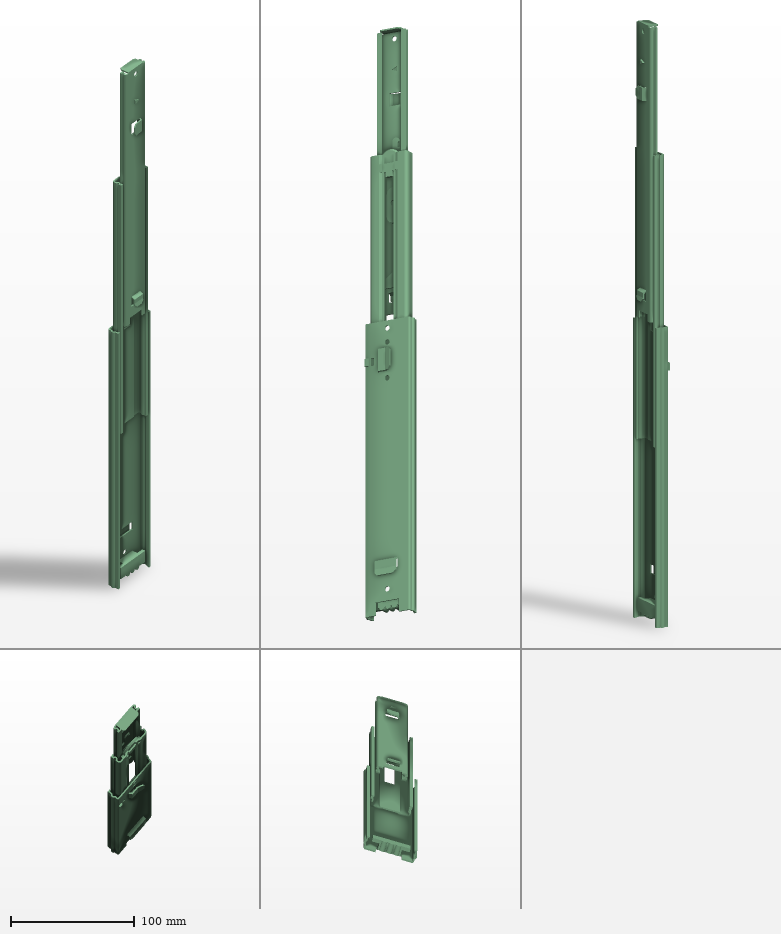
import cadquery as cq
import math

LENGTH = 500.0
WALL = 1.2
HOLE_DIAMETER = 4.5

OUTER_BACK_X = -5.5
OUTER_BEND_RADIUS = 1.5
OUTER_MOUTH_X = 5.5
OUTER_HALF_WIDTH = 21.25
OUTER_BULGE = 1.25
OUTER_BULGE_X = 0.0
OUTER_BULGE_HALF_SPAN = 2.0
OUTER_MOUTH_HALF_WIDTH = 19.0
OUTER_TOP_Z = 250.0
OUTER_HOLES_Z = (21.0, 201.0, 231.5, 243.5)
NOTCH_HALF_WIDTH = 11.0
NOTCH_HEIGHT = 11.0

MIDDLE_BACK_X = -4.0
MIDDLE_BEND_RADIUS = 2.5
MIDDLE_MOUTH_X = 5.5
MIDDLE_HALF_WIDTH = 17.5
MIDDLE_GROOVE_DEPTH = 1.5
MIDDLE_GROOVE_X = 1.5
MIDDLE_GROOVE_HALF_SPAN = 1.0
MIDDLE_MOUTH_HALF_WIDTH = 15.0
MIDDLE_BOTTOM_Z = 150.0
MIDDLE_TOP_Z = 393.0
RECESS_DEPTH = 1.0
RECESS_HALF_WIDTH = 8.75
RECESS_FLOOR_HALF_WIDTH = 6.5
SLOT_HALF_WIDTH = 4.5
SLOT_BOTTOM_Z = 242.0

INNER_BACK_X = 7.0
INNER_BEND_RADIUS = 2.0
INNER_MOUTH_X = 0.75
INNER_HALF_WIDTH = 13.25
INNER_GROOVE_DEPTH = 1.5
INNER_GROOVE_X = 3.5
INNER_GROOVE_HALF_SPAN = 1.0
INNER_MOUTH_HALF_WIDTH = 9.25
INNER_BOTTOM_Z = 253.0
INNER_NOTCH_TOP_Z = 259.0
INNER_NOTCH_HALF_WIDTH = 8.0
INNER_HOLE_Z = 493.5
INNER_TOP_Z = LENGTH - WALL
TOP_TAB_HALF_WIDTH = 9.75
TOP_TAB_FRONT_X = -2.25
TOP_TAB_CHAMFER = 1.5

HOOK_REACH = 10.75
HOOK_STANDOFF = 3.0
HOOK_STRAIGHT_SHARE = 0.6
HOOK_CORNER_CHAMFER = 2.5
HOOK_TOP_DROP = 1.75
WIDE_HOOK_REACH = 9.5
WIDE_HOOK_TOP_Z = 47.0
WIDE_HOOK_HEIGHT = 14.5
WIDE_HOOK_HALF_WIDTH = 10.0
LOW_HOOK_TOP_Z = 278.5
LOW_HOOK_HEIGHT = 9.5
LOW_HOOK_HALF_WIDTH = 5.5
SIDE_HOOK_Z = 216.5
SIDE_HOOK_ROOT_Y = 8.5
SIDE_HOOK_HEIGHT = 14.0
SIDE_HOOK_HALF_WIDTH = 9.5
HIGH_HOOK_Z = 442.0
HIGH_HOOK_ROOT_Y = 6.0
HIGH_HOOK_HEIGHT = 12.0
HIGH_HOOK_HALF_WIDTH = 5.5

STOP_Z = 213.5
STOP_HEIGHT = 6.5
STOP_RISE = 1.5
STOP_INNER_Y = 17.0
STOP_WIDTH = 3.5
STOP_WINDOW_Y = 12.5
STOP_WINDOW_WIDTH = 3.0

BARB_Z = 467.5
BARB_HALF_WIDTH = 2.5
BARB_HALF_HEIGHT = 2.0
BARB_RISE = 1.5

CAP_BOTTOM_Z = 373.5
CAP_SHOULDER_Z = 378.0
CAP_STEP_Z = 385.0
CAP_SPRING_Z = 392.0
CAP_TOP_Z = 397.5
CAP_THICKNESS = 2.0
CAP_BEVEL = 1.5
CAP_STEM_HALF_WIDTH = 3.0
EAR_INNER_Y = 6.25
EAR_OUTER_Y = 11.25

LEVER_THICKNESS = 1.2
LEVER_HALF_WIDTH = 6.0
PAD_BOTTOM_Z = 336.0
PAD_TOP_Z = 366.5
PAD_THICKNESS = 1.8
LEVER_SHOULDER_Z = 387.5
LEVER_ARM_EDGE_Y = 1.0
LEVER_TIP_EDGE_Y = -5.5
LEVER_NECK_Y = -3.5
LEVER_NOTCH_BOTTOM_Z = 400.0
LEVER_NOTCH_TOP_Z = 404.5
LEVER_TOP_Z = 408.5
PIVOT_Z = 353.0
PIVOT_DIAMETER = 9.0
DIMPLE_DIAMETER = 5.0

LATCH_BOTTOM_Z = 281.0
LATCH_SHOULDER_Z = 289.0
LATCH_POINT_Z = 294.5
LATCH_HALF_WIDTH = 8.0

BUMPER_BOTTOM_Z = 6.5
BUMPER_TOP_Z = 17.5
BUMPER_FRONT_X = 4.0
BUMPER_WING_X = 1.0
BUMPER_HALF_WIDTH = 16.0
BUMPER_CORE_HALF_WIDTH = 9.5
BUMPER_RIB_RADIUS = 2.25
BUMPER_RIB_PITCH = 6.0

OUTER_WEB_INSIDE_X = OUTER_BACK_X + WALL
INNER_WEB_INSIDE_X = INNER_BACK_X - WALL
RECESS_X = MIDDLE_BACK_X + RECESS_DEPTH
CAP_BACK_X = RECESS_X + WALL


def block(x_range, y_range, z_range):
    """Box between the given limits along each axis."""
    size = [high - low for low, high in (x_range, y_range, z_range)]
    start = (x_range[0], y_range[0], z_range[0])
    return cq.Workplane("XY").box(*size, centered=False).translate(start)


def web_hole(x, z, diameter):
    """Cutter for a round hole through a web that starts at x."""
    return cq.Workplane("YZ", origin=(x, 0, z)).circle(diameter / 2).extrude(WALL)


def plate(outline, x, thickness):
    """Flat plate parallel to the webs from an outline of (y, z) points, growing toward +X."""
    return cq.Workplane("YZ", origin=(x, 0, 0)).polyline(outline).close().extrude(thickness)


def channel(back_x, mouth_x, half_width, bend_radius, groove, mouth_half_width, z_range):
    """C-shaped rail bent from sheet, with a ball groove along each flange.

    The groove is given as (x, half span, bulge); a positive bulge points outward.
    """
    groove_x, half_span, bulge = groove
    toward_mouth = 1 if mouth_x > back_x else -1
    groove_start = groove_x - toward_mouth * half_span
    groove_end = groove_x + toward_mouth * half_span
    bend_x = back_x + toward_mouth * bend_radius
    bend_y = half_width - bend_radius
    bend_middle = bend_radius * math.sqrt(0.5)
    bend_middle_x = bend_x - toward_mouth * bend_middle
    bend_middle_y = bend_y + bend_middle
    bottom, top = z_range
    outline = (
        cq.Workplane("XY", origin=(0, 0, bottom))
        .moveTo(bend_x, -half_width)
        .lineTo(groove_start, -half_width)
        .threePointArc((groove_x, -half_width - bulge), (groove_end, -half_width))
        .lineTo(mouth_x, -half_width)
        .lineTo(mouth_x, half_width)
        .lineTo(groove_end, half_width)
        .threePointArc((groove_x, half_width + bulge), (groove_start, half_width))
        .lineTo(bend_x, half_width)
        .threePointArc((bend_middle_x, bend_middle_y), (back_x, bend_y))
        .lineTo(back_x, -bend_y)
        .threePointArc((bend_middle_x, -bend_middle_y), (bend_x, -half_width))
        .close()
    )
    cavity = outline.offset2D(-WALL).extrude(top - bottom)
    shell = outline.toPending().extrude(top - bottom)
    lip_x = sorted((mouth_x, mouth_x - toward_mouth * WALL))
    mouth = block(lip_x, (-mouth_half_width, mouth_half_width), z_range)
    return shell.cut(cavity).cut(mouth)


def hook_knee(top_z, height):
    """Height at which a hook starts to flare."""
    return top_z - HOOK_STRAIGHT_SHARE * height


def flared_hook(web_x, tip_x, top_z, height, half_width):
    """Hook that leaves the web at its top, runs down along it and flares away at its lower edge."""
    side = 1 if tip_x > web_x else -1
    standoff_x = web_x + side * HOOK_STANDOFF
    knee_z = hook_knee(top_z, height)
    bottom_z = top_z - height
    profile = [
        (web_x, top_z),
        (standoff_x, top_z - HOOK_TOP_DROP),
        (standoff_x, knee_z),
        (tip_x, bottom_z),
        (tip_x - side * WALL, bottom_z),
        (standoff_x - side * WALL, knee_z),
        (standoff_x - side * WALL, top_z - HOOK_TOP_DROP - WALL),
        (web_x, top_z - WALL),
    ]
    hook = cq.Workplane("XZ").polyline(profile).close().extrude(half_width, both=True)
    envelope = block((-HOOK_REACH, HOOK_REACH), (-half_width, half_width), (bottom_z, top_z))
    return hook.intersect(envelope.faces("<Z").edges("|X").chamfer(HOOK_CORNER_CHAMFER))


def window(web_x, top_z, bottom_z, half_width):
    """Cutter for the window behind a hook, through a web that starts at web_x."""
    return block((web_x, web_x + WALL), (-half_width, half_width), (bottom_z, top_z - WALL))


def turn_sideways(shape, center_z):
    """Turn a hook or its window so that its root faces +Y, and raise it to center_z."""
    return shape.rotate((0, 0, 0), (1, 0, 0), -90).translate((0, 0, center_z))


def make_outer_rail():
    ball_groove = (OUTER_BULGE_X, OUTER_BULGE_HALF_SPAN, OUTER_BULGE)
    rail = channel(OUTER_BACK_X, OUTER_MOUTH_X, OUTER_HALF_WIDTH, OUTER_BEND_RADIUS, ball_groove,
                   OUTER_MOUTH_HALF_WIDTH, (0, OUTER_TOP_Z))
    web = (OUTER_BACK_X, OUTER_WEB_INSIDE_X)
    rail = rail.cut(block(web, (-NOTCH_HALF_WIDTH, NOTCH_HALF_WIDTH), (0, NOTCH_HEIGHT)))
    for z in OUTER_HOLES_Z:
        rail = rail.cut(web_hole(OUTER_BACK_X, z, HOLE_DIAMETER))

    side_size = (SIDE_HOOK_ROOT_Y, SIDE_HOOK_HEIGHT, SIDE_HOOK_HALF_WIDTH)
    side_end = hook_knee(SIDE_HOOK_ROOT_Y, SIDE_HOOK_HEIGHT)
    side_window = window(OUTER_BACK_X, SIDE_HOOK_ROOT_Y, side_end, SIDE_HOOK_HALF_WIDTH)
    side_hook = turn_sideways(flared_hook(OUTER_BACK_X, -HOOK_REACH, *side_size), SIDE_HOOK_Z)
    rail = rail.cut(turn_sideways(side_window, SIDE_HOOK_Z))

    wide_size = (WIDE_HOOK_TOP_Z, WIDE_HOOK_HEIGHT, WIDE_HOOK_HALF_WIDTH)
    wide_end = hook_knee(WIDE_HOOK_TOP_Z, WIDE_HOOK_HEIGHT)
    wide_hook = flared_hook(OUTER_BACK_X, -WIDE_HOOK_REACH, *wide_size)
    rail = rail.cut(window(OUTER_BACK_X, WIDE_HOOK_TOP_Z, wide_end, WIDE_HOOK_HALF_WIDTH))

    stop_z = (STOP_Z, STOP_Z + STOP_HEIGHT)
    rail = rail.cut(block(web, (STOP_WINDOW_Y, STOP_WINDOW_Y + STOP_WINDOW_WIDTH), stop_z))
    stop = block((OUTER_BACK_X - STOP_RISE, OUTER_WEB_INSIDE_X),
                 (STOP_INNER_Y, STOP_INNER_Y + STOP_WIDTH), stop_z)
    return rail.union(side_hook).union(wide_hook).union(stop)


def cap_ears():
    """The two ears of the end cap, which fill windows in the middle web."""
    left_ear = block((MIDDLE_BACK_X, CAP_BACK_X), (EAR_INNER_Y, EAR_OUTER_Y), (CAP_SHOULDER_Z, CAP_STEP_Z))
    return left_ear, left_ear.mirror("XZ")


def make_middle_rail():
    ball_groove = (MIDDLE_GROOVE_X, MIDDLE_GROOVE_HALF_SPAN, -MIDDLE_GROOVE_DEPTH)
    rail = channel(MIDDLE_BACK_X, MIDDLE_MOUTH_X, MIDDLE_HALF_WIDTH, MIDDLE_BEND_RADIUS, ball_groove,
                   MIDDLE_MOUTH_HALF_WIDTH, (MIDDLE_BOTTOM_Z, MIDDLE_TOP_Z))
    length = MIDDLE_TOP_Z - MIDDLE_BOTTOM_Z
    base = cq.Workplane("XY", origin=(0, 0, MIDDLE_BOTTOM_Z))

    trough_back = block((RECESS_X, CAP_BACK_X), (-RECESS_HALF_WIDTH, RECESS_HALF_WIDTH),
                        (MIDDLE_BOTTOM_Z, MIDDLE_TOP_Z))
    trough = base.polyline([
        (MIDDLE_BACK_X, -RECESS_HALF_WIDTH),
        (MIDDLE_BACK_X, RECESS_HALF_WIDTH),
        (RECESS_X, RECESS_FLOOR_HALF_WIDTH),
        (RECESS_X, -RECESS_FLOOR_HALF_WIDTH),
    ]).close().extrude(length)
    rail = rail.union(trough_back).cut(trough)

    through_web = (MIDDLE_BACK_X, CAP_BACK_X)
    rail = rail.cut(block(through_web, (-SLOT_HALF_WIDTH, SLOT_HALF_WIDTH),
                          (SLOT_BOTTOM_Z, MIDDLE_TOP_Z)))
    for ear in cap_ears():
        rail = rail.cut(ear)
    return rail


def make_end_cap():
    cap = (
        cq.Workplane("YZ", origin=(CAP_BACK_X, 0, 0))
        .moveTo(-EAR_OUTER_Y, CAP_SHOULDER_Z)
        .lineTo(EAR_OUTER_Y, CAP_SHOULDER_Z)
        .lineTo(EAR_OUTER_Y, CAP_STEP_Z)
        .lineTo(RECESS_HALF_WIDTH, CAP_STEP_Z)
        .lineTo(RECESS_HALF_WIDTH, CAP_SPRING_Z)
        .threePointArc((0, CAP_TOP_Z), (-RECESS_HALF_WIDTH, CAP_SPRING_Z))
        .lineTo(-RECESS_HALF_WIDTH, CAP_STEP_Z)
        .lineTo(-EAR_OUTER_Y, CAP_STEP_Z)
        .close()
        .extrude(CAP_THICKNESS)
    )
    dome_rim = cap.faces("<X").edges("%CIRCLE")
    cap = dome_rim.chamfer(CAP_BEVEL)
    plug_x = (RECESS_X, CAP_BACK_X)
    plug = block(plug_x, (-SLOT_HALF_WIDTH, SLOT_HALF_WIDTH), (CAP_SHOULDER_Z, CAP_STEP_Z))
    stem = block((RECESS_X, CAP_BACK_X + CAP_THICKNESS), (-CAP_STEM_HALF_WIDTH, CAP_STEM_HALF_WIDTH),
                 (CAP_BOTTOM_Z, CAP_SHOULDER_Z))
    cap = cap.union(plug).union(stem)
    for ear in cap_ears():
        cap = cap.union(ear)
    return cap


def make_inner_rail():
    ball_groove = (INNER_GROOVE_X, INNER_GROOVE_HALF_SPAN, -INNER_GROOVE_DEPTH)
    rail = channel(INNER_BACK_X, INNER_MOUTH_X, INNER_HALF_WIDTH, INNER_BEND_RADIUS, ball_groove,
                   INNER_MOUTH_HALF_WIDTH, (INNER_BOTTOM_Z, INNER_TOP_Z))
    web = (INNER_WEB_INSIDE_X, INNER_BACK_X)
    rail = rail.cut(block(web, (-INNER_NOTCH_HALF_WIDTH, INNER_NOTCH_HALF_WIDTH),
                          (INNER_BOTTOM_Z, INNER_NOTCH_TOP_Z)))
    rail = rail.cut(web_hole(INNER_WEB_INSIDE_X, INNER_HOLE_Z, HOLE_DIAMETER))

    top_tab = block((TOP_TAB_FRONT_X, INNER_BACK_X), (-TOP_TAB_HALF_WIDTH, TOP_TAB_HALF_WIDTH),
                    (INNER_TOP_Z, LENGTH))
    top_tab = top_tab.faces("<X").edges("|Z").chamfer(TOP_TAB_CHAMFER)

    low_size = (LOW_HOOK_TOP_Z, LOW_HOOK_HEIGHT, LOW_HOOK_HALF_WIDTH)
    low_end = LOW_HOOK_TOP_Z - LOW_HOOK_HEIGHT
    low_hook = flared_hook(INNER_BACK_X, HOOK_REACH, *low_size)
    rail = rail.cut(window(INNER_WEB_INSIDE_X, LOW_HOOK_TOP_Z, low_end, LOW_HOOK_HALF_WIDTH))

    high_size = (HIGH_HOOK_ROOT_Y, HIGH_HOOK_HEIGHT, HIGH_HOOK_HALF_WIDTH)
    high_end = HIGH_HOOK_ROOT_Y - HIGH_HOOK_HEIGHT
    high_window = window(INNER_WEB_INSIDE_X, HIGH_HOOK_ROOT_Y, high_end, HIGH_HOOK_HALF_WIDTH)
    high_hook = turn_sideways(flared_hook(INNER_BACK_X, HOOK_REACH, *high_size), HIGH_HOOK_Z)
    rail = rail.cut(turn_sideways(high_window, HIGH_HOOK_Z))

    barb_outline = [
        (BARB_HALF_WIDTH, BARB_Z),
        (-BARB_HALF_WIDTH, BARB_Z + BARB_HALF_HEIGHT),
        (-BARB_HALF_WIDTH, BARB_Z - BARB_HALF_HEIGHT),
    ]
    rail = rail.cut(plate(barb_outline, INNER_WEB_INSIDE_X, BARB_RISE - WALL / 2))
    barb = plate(barb_outline, INNER_BACK_X - WALL / 2, BARB_RISE + WALL / 2)

    rivet = (
        cq.Workplane("YZ", origin=(INNER_WEB_INSIDE_X, 0, PIVOT_Z))
        .circle(PIVOT_DIAMETER / 2)
        .extrude(-PAD_THICKNESS)
        .faces("<X").workplane()
        .hole(DIMPLE_DIAMETER, PAD_THICKNESS / 2)
    )
    for feature in (top_tab, low_hook, high_hook, barb, rivet):
        rail = rail.union(feature)
    return rail


def make_lever():
    arm = (
        cq.Workplane("YZ", origin=(INNER_WEB_INSIDE_X, 0, 0))
        .moveTo(-LEVER_HALF_WIDTH, PIVOT_Z)
        .lineTo(LEVER_HALF_WIDTH, PIVOT_Z)
        .lineTo(LEVER_HALF_WIDTH, LEVER_SHOULDER_Z)
        .lineTo(LEVER_ARM_EDGE_Y, LEVER_SHOULDER_Z)
        .lineTo(LEVER_ARM_EDGE_Y, LEVER_NOTCH_TOP_Z)
        .threePointArc(((LEVER_ARM_EDGE_Y + LEVER_TIP_EDGE_Y) / 2, LEVER_TOP_Z),
                       (LEVER_TIP_EDGE_Y, LEVER_NOTCH_TOP_Z))
        .lineTo(LEVER_NECK_Y, LEVER_NOTCH_TOP_Z)
        .lineTo(LEVER_NECK_Y, LEVER_NOTCH_BOTTOM_Z)
        .lineTo(-LEVER_HALF_WIDTH, LEVER_NOTCH_BOTTOM_Z)
        .close()
        .extrude(-LEVER_THICKNESS)
    )
    pad = (
        cq.Workplane("YZ", origin=(INNER_WEB_INSIDE_X, 0, (PAD_BOTTOM_Z + PAD_TOP_Z) / 2))
        .slot2D(PAD_TOP_Z - PAD_BOTTOM_Z, 2 * LEVER_HALF_WIDTH, 90)
        .extrude(-PAD_THICKNESS)
    )
    pivot_hole = (
        cq.Workplane("YZ", origin=(INNER_WEB_INSIDE_X, 0, PIVOT_Z))
        .circle(PIVOT_DIAMETER / 2)
        .extrude(-PAD_THICKNESS)
    )
    return arm.union(pad).cut(pivot_hole)


def make_latch_plate():
    outline = [
        (-LATCH_HALF_WIDTH, LATCH_BOTTOM_Z),
        (LATCH_HALF_WIDTH, LATCH_BOTTOM_Z),
        (LATCH_HALF_WIDTH, LATCH_SHOULDER_Z),
        (0, LATCH_POINT_Z),
        (-LATCH_HALF_WIDTH, LATCH_SHOULDER_Z),
    ]
    return plate(outline, INNER_WEB_INSIDE_X - WALL, WALL)


def make_bumper():
    z_range = (BUMPER_BOTTOM_Z, BUMPER_TOP_Z)
    core_y = (-BUMPER_CORE_HALF_WIDTH, BUMPER_CORE_HALF_WIDTH)
    wings = block((BUMPER_WING_X, BUMPER_FRONT_X), (-BUMPER_HALF_WIDTH, BUMPER_HALF_WIDTH), z_range)
    core = block((OUTER_WEB_INSIDE_X, BUMPER_WING_X), core_y, z_range)
    bumper = wings.union(core)
    for i in (-1, 0, 1):
        rib = (
            cq.Workplane("YZ", origin=(OUTER_WEB_INSIDE_X, i * BUMPER_RIB_PITCH, BUMPER_BOTTOM_Z))
            .circle(BUMPER_RIB_RADIUS)
            .extrude(BUMPER_FRONT_X - OUTER_WEB_INSIDE_X)
        )
        bumper = bumper.union(rib)
    return bumper


outer_rail = make_outer_rail()
middle_rail = make_middle_rail()
inner_rail = make_inner_rail()
end_cap = make_end_cap()
lever = make_lever()
latch_plate = make_latch_plate()
bumper = make_bumper()

result = cq.Compound.makeCompound([
    outer_rail.val(),
    middle_rail.val(),
    inner_rail.val(),
    end_cap.val(),
    lever.val(),
    latch_plate.val(),
    bumper.val(),
])